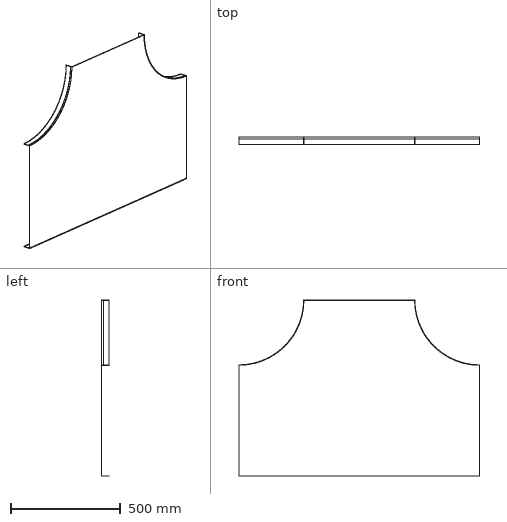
import cadquery as cq

length = 1100.0
depth = 35.0
height = 804.0

sheet = 1.5
lip_depth = 9.0
corner_radius = 296.0

half_length = length / 2
back_y = depth / 2
joint_y = back_y - lip_depth
front_y = -depth / 2


def slab(x_size, z_size, y_front, y_back):
    """Block centred on X that stands on Z = 0 between two Y positions."""
    return cq.Workplane("XY").box(
        x_size, y_back - y_front, z_size, centered=(True, False, False)
    ).translate((0, y_front, 0))


def corner_cylinder(side, radius, y_front, y_back):
    """Cylinder along Y around an upper corner; side is -1 for left, +1 for right."""
    return (
        cq.Workplane("XZ", origin=(side * half_length, y_back, height))
        .circle(radius)
        .extrude(y_back - y_front)
    )


def curved_band(side, y_front, y_back):
    """Quarter ring, one sheet thick, that follows a concave corner."""
    outer = corner_cylinder(side, corner_radius + sheet, y_front, y_back)
    inner = corner_cylinder(side, corner_radius, y_front, y_back)
    return outer.cut(inner).intersect(slab(length, height, y_front, y_back))


def make_plate():
    """Flat plate with scooped corners and a short lip along each flanged edge."""
    face_y = back_y - sheet
    plate = slab(length, height, face_y, back_y)
    for side in (-1, 1):
        plate = plate.cut(corner_cylinder(side, corner_radius, face_y, back_y))
    for side in (-1, 1):
        plate = plate.union(curved_band(side, joint_y, back_y))
    return plate.union(slab(length, sheet, joint_y, back_y))


def make_bottom_strip():
    """Straight flange strip that continues the bottom lip."""
    return slab(length, sheet, front_y, joint_y)


def make_curved_strip(side):
    """Curved flange strip that continues the lip of one scooped corner."""
    return curved_band(side, front_y, joint_y)


plate = make_plate()
bottom_strip = make_bottom_strip()
curved_strips = [make_curved_strip(side) for side in (-1, 1)]

result = cq.Compound.makeCompound(
    [plate.val(), bottom_strip.val(), *[strip.val() for strip in curved_strips]]
)